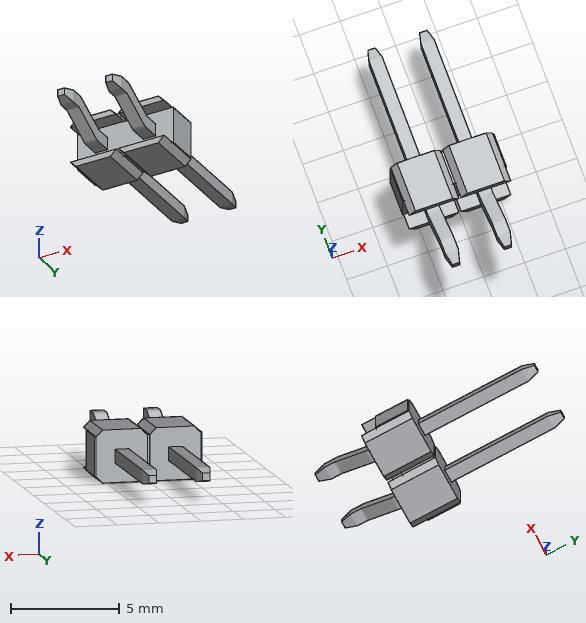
import cadquery as cq
import math

PIN_COUNT = 2
PITCH = 2.54

CELL_WIDTH = 2.44
CELL_HEIGHT = 2.5
CELL_DEPTH = 2.5
CELL_CHAMFER = 0.31
CORE_WIDTH = PIN_COUNT * PITCH
CORE_HEIGHT = CELL_HEIGHT - 2 * CELL_CHAMFER
CORE_BACK = -0.07
CORE_FRONT = -1.74

PIN_SIZE = 0.64
PIN_BACK = 6.0
PIN_FRONT = -5.5
TIP_SIZE = 0.36
TIP_LENGTH = 0.58
BEND_START = -2.53
BEND_END = -4.22
BEND_OUTER_RADIUS = 0.58
BEND_INNER_RADIUS = 0.18
PIN_RISE = (CELL_HEIGHT - PIN_SIZE) / 2

pin_positions = [(i - (PIN_COUNT - 1) / 2) * PITCH for i in range(PIN_COUNT)]


def box_between(width, height, y_front, y_back):
    """Box centred on X and Z that spans the given Y range."""
    return cq.Workplane("XY").box(width, y_back - y_front, height).translate((0, (y_front + y_back) / 2, 0))


def make_cell(x):
    """Chamfered block around one pin."""
    block = box_between(CELL_WIDTH, CELL_HEIGHT, -CELL_DEPTH, 0)
    return block.edges("|Y").chamfer(CELL_CHAMFER).translate((x, 0, 0))


def make_housing():
    """Cells joined by a core, with an open front recess and square pin holes."""
    housing = box_between(CORE_WIDTH, CORE_HEIGHT, CORE_FRONT, CORE_BACK)
    for x in pin_positions:
        housing = housing.union(make_cell(x))
    housing = housing.cut(box_between(CORE_WIDTH, CORE_HEIGHT, -CELL_DEPTH, CORE_FRONT))
    for x in pin_positions:
        hole = box_between(PIN_SIZE, PIN_SIZE, CORE_FRONT, 0)
        housing = housing.cut(hole.translate((x, 0, 0)))
    return housing


def make_tip(y_base, direction, z):
    """Tapered square end, pointing along +Y (direction 1) or -Y (direction -1)."""
    plane = cq.Plane(origin=(0, y_base, z), xDir=(1, 0, 0), normal=(0, direction, 0))
    base = cq.Workplane(plane).rect(PIN_SIZE, PIN_SIZE)
    return base.workplane(offset=TIP_LENGTH).rect(TIP_SIZE, TIP_SIZE).loft(ruled=True)


def make_pin(x):
    """Square pin with a raised tail and tapered ends."""
    half = PIN_SIZE / 2
    bend_angle = math.atan2(PIN_RISE, BEND_START - BEND_END)
    shift = PIN_SIZE * math.tan(bend_angle / 2)
    shaft_back = PIN_BACK - TIP_LENGTH
    shaft_front = PIN_FRONT + TIP_LENGTH
    upper_side = [
        (shaft_back, half),
        (BEND_START, half),
        (BEND_END, half + PIN_RISE),
        (shaft_front, half + PIN_RISE),
    ]
    lower_side = [
        (shaft_front, PIN_RISE - half),
        (BEND_END - shift, PIN_RISE - half),
        (BEND_START - shift, -half),
        (shaft_back, -half),
    ]
    pin = cq.Workplane("YZ").polyline(upper_side + lower_side).close().extrude(half, both=True)

    outer_corners = [upper_side[2], lower_side[2]]
    inner_corners = [upper_side[1], lower_side[1]]
    for corners, radius in ((outer_corners, BEND_OUTER_RADIUS), (inner_corners, BEND_INNER_RADIUS)):
        for y, z in corners:
            pin = pin.edges(cq.selectors.NearestToPointSelector((0, y, z))).fillet(radius)

    pin = pin.union(make_tip(shaft_back, 1, 0))
    pin = pin.union(make_tip(shaft_front, -1, PIN_RISE))
    return pin.translate((x, 0, 0))


housing = make_housing()
pins = [make_pin(x) for x in pin_positions]

result = cq.Compound.makeCompound([housing.solids().val(), *[pin.solids().val() for pin in pins]])